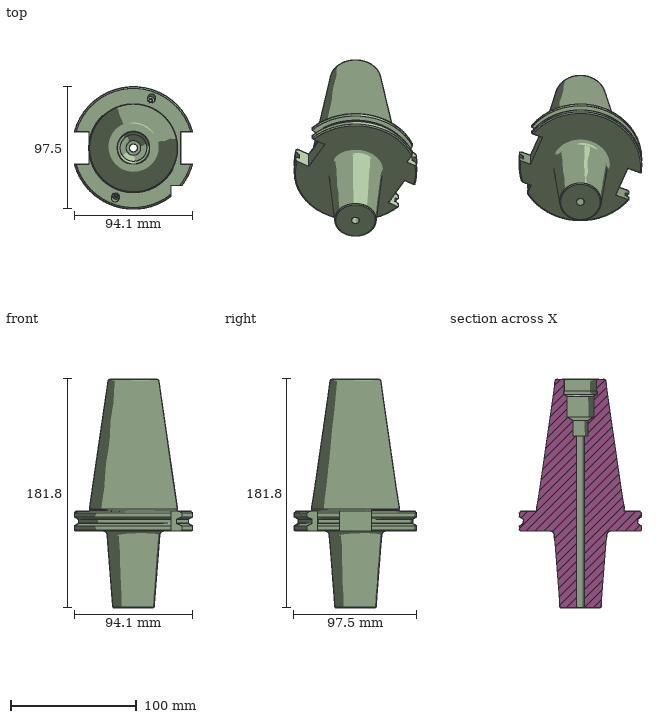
import cadquery as cq
import math


GAUGE_RADIUS = 69.85 / 2
TAPER_LENGTH = 101.75
TAPER_SLOPE = 7 / 24 / 2
TAPER_BASE_Z = -1.5
TOP_ROUND = 2.0
RELIEF_RADIUS = 34.8
RELIEF_ROUND = 0.8

FLANGE_RADIUS = 97.5 / 2
FLANGE_TOP_Z = -3.2
FLANGE_BOTTOM_Z = -19.1
FLANGE_TOP_CHAMFER = 1.4
FLANGE_BOTTOM_CHAMFER = 1.0
GROOVE_Z = -11.3
GROOVE_FLOOR_RADIUS = 91.25 / 2
GROOVE_FLOOR_WIDTH = 3.4
GROOVE_FLANK_ANGLE = 30
GROOVE_ROOT_ROUND = 0.6

NOSE_END_Z = -80.0
NOSE_END_RADIUS = 33 / 2
NOSE_TOP_Z = -22.9
NOSE_ROUND = 3.2
NOSE_ANGLE = 4.5
NOSE_CHAMFER = 0.8

SLOT_WIDTH = 25.7
SLOT_FLOOR_LEFT = 35.5
SLOT_FLOOR_RIGHT = 37.7
NOTCH_X = 30.0
NOTCH_Y = 30.0

MOUTH_ROUND = 1.5
COUNTERBORE_RADIUS = 12.75
COUNTERBORE_DEPTH = 12.2
UNDERCUT_DEPTH = 9.3
UNDERCUT_ROUND = 0.5
THREAD_BORE_RADIUS = 10.6
THREAD_CHAMFER_DEPTH = 1.5
THREAD_BORE_DEPTH = 30.0
POCKET_RADIUS = 5.8
POINT_ANGLE = 118
POCKET_DEPTH = 45.0
THROUGH_RADIUS = 3.1

COOLANT_RADIUS = 6.2 / 2
COOLANT_PITCH_RADIUS = 42.0
COOLANT_ANGLES = (70, 250)
COOLANT_TILT = 30
COOLANT_DEPTH = 3.0
SOCKET_WIDTH = 3.0
SOCKET_DEPTH = 2.0


def round_circle(solid, circle_radius, z, round_radius):
    """Fillet the circular edge of the given radius that lies at height z."""
    margin = 0.05
    reach = circle_radius + margin
    edge_box = cq.selectors.BoxSelector(
        (-reach, -reach, z - margin),
        (reach, reach, z + margin),
        boundingbox=True,
    )
    radius_filter = cq.selectors.RadiusNthSelector(-1)
    return solid.edges(edge_box).edges(radius_filter).fillet(round_radius)


def make_body():
    """Revolve the outer profile: nose, flange, neck and taper."""
    nose_slope = math.tan(math.radians(NOSE_ANGLE))
    nose_chamfer_z = NOSE_END_Z + NOSE_CHAMFER
    nose_top_radius = NOSE_END_RADIUS + nose_slope * (NOSE_TOP_Z - NOSE_END_Z)

    groove_depth = FLANGE_RADIUS - GROOVE_FLOOR_RADIUS
    groove_half_floor = GROOVE_FLOOR_WIDTH / 2
    groove_half_mouth = groove_half_floor + groove_depth * math.tan(math.radians(GROOVE_FLANK_ANGLE))

    taper_base_radius = GAUGE_RADIUS - TAPER_SLOPE * TAPER_BASE_Z
    taper_top_radius = GAUGE_RADIUS - TAPER_SLOPE * TAPER_LENGTH

    profile = (
        cq.Workplane("XZ")
        .moveTo(0, NOSE_END_Z)
        .lineTo(NOSE_END_RADIUS - NOSE_CHAMFER, NOSE_END_Z)
        .lineTo(NOSE_END_RADIUS + nose_slope * NOSE_CHAMFER, nose_chamfer_z)
        .lineTo(nose_top_radius, NOSE_TOP_Z)
        .lineTo(nose_top_radius, FLANGE_BOTTOM_Z)
        .lineTo(FLANGE_RADIUS - FLANGE_BOTTOM_CHAMFER, FLANGE_BOTTOM_Z)
        .lineTo(FLANGE_RADIUS, FLANGE_BOTTOM_Z + FLANGE_BOTTOM_CHAMFER)
        .lineTo(FLANGE_RADIUS, GROOVE_Z - groove_half_mouth)
        .lineTo(GROOVE_FLOOR_RADIUS, GROOVE_Z - groove_half_floor)
        .lineTo(GROOVE_FLOOR_RADIUS, GROOVE_Z + groove_half_floor)
        .lineTo(FLANGE_RADIUS, GROOVE_Z + groove_half_mouth)
        .lineTo(FLANGE_RADIUS, FLANGE_TOP_Z - FLANGE_TOP_CHAMFER)
        .lineTo(FLANGE_RADIUS - FLANGE_TOP_CHAMFER, FLANGE_TOP_Z)
        .lineTo(RELIEF_RADIUS, FLANGE_TOP_Z)
        .lineTo(RELIEF_RADIUS, TAPER_BASE_Z)
        .lineTo(taper_base_radius, TAPER_BASE_Z)
        .lineTo(taper_top_radius, TAPER_LENGTH)
        .lineTo(0, TAPER_LENGTH)
        .close()
    )
    body = profile.revolve(360, (0, 0, 0), (0, 1, 0))
    body = round_circle(body, taper_top_radius, TAPER_LENGTH, TOP_ROUND)
    body = round_circle(body, RELIEF_RADIUS, FLANGE_TOP_Z, RELIEF_ROUND)
    body = round_circle(body, nose_top_radius, FLANGE_BOTTOM_Z, NOSE_ROUND)
    for side in (-1, 1):
        floor_edge_z = GROOVE_Z + side * groove_half_floor
        body = round_circle(body, GROOVE_FLOOR_RADIUS, floor_edge_z, GROOVE_ROOT_ROUND)
    return body


def make_bore():
    """Revolve the stepped bore that runs from the taper end through the nose."""
    mouth_inset = MOUTH_ROUND * (1 - math.sqrt(0.5))
    undercut_z = TAPER_LENGTH - UNDERCUT_DEPTH
    undercut_radius = COUNTERBORE_RADIUS + UNDERCUT_ROUND
    undercut_bulge = UNDERCUT_ROUND * math.sqrt(0.5)
    undercut_inset = UNDERCUT_ROUND - undercut_bulge
    counterbore_z = TAPER_LENGTH - COUNTERBORE_DEPTH
    thread_floor_z = TAPER_LENGTH - THREAD_BORE_DEPTH
    point_depth = (THREAD_BORE_RADIUS - POCKET_RADIUS) / math.tan(math.radians(POINT_ANGLE / 2))
    pocket_floor_z = TAPER_LENGTH - POCKET_DEPTH
    return (
        cq.Workplane("XZ")
        .moveTo(0, TAPER_LENGTH)
        .lineTo(COUNTERBORE_RADIUS + MOUTH_ROUND, TAPER_LENGTH)
        .threePointArc(
            (COUNTERBORE_RADIUS + mouth_inset, TAPER_LENGTH - mouth_inset),
            (COUNTERBORE_RADIUS, TAPER_LENGTH - MOUTH_ROUND),
        )
        .lineTo(COUNTERBORE_RADIUS, undercut_z)
        .threePointArc(
            (COUNTERBORE_RADIUS + undercut_bulge, undercut_z - undercut_inset),
            (undercut_radius, undercut_z - UNDERCUT_ROUND),
        )
        .lineTo(undercut_radius, counterbore_z + UNDERCUT_ROUND)
        .threePointArc(
            (COUNTERBORE_RADIUS + undercut_bulge, counterbore_z + undercut_inset),
            (COUNTERBORE_RADIUS, counterbore_z),
        )
        .lineTo(THREAD_BORE_RADIUS, counterbore_z - THREAD_CHAMFER_DEPTH)
        .lineTo(THREAD_BORE_RADIUS, thread_floor_z)
        .lineTo(POCKET_RADIUS, thread_floor_z - point_depth)
        .lineTo(POCKET_RADIUS, pocket_floor_z)
        .lineTo(THROUGH_RADIUS, pocket_floor_z)
        .lineTo(THROUGH_RADIUS, NOSE_END_Z)
        .lineTo(0, NOSE_END_Z)
        .close()
        .revolve(360, (0, 0, 0), (0, 1, 0))
    )


def make_flange_block(x_min, x_max, y_min, y_max):
    """Box over the full flange height, used to cut the slots and the notch."""
    height = FLANGE_TOP_Z - FLANGE_BOTTOM_Z
    return (
        cq.Workplane("XY", origin=(x_min, y_min, FLANGE_BOTTOM_Z))
        .box(x_max - x_min, y_max - y_min, height, centered=False)
    )


def make_coolant_hole(angle):
    """Blind hole with a hexagon socket in its floor, leaning toward the axis."""
    overshoot = 2 * COOLANT_RADIUS
    socket_corner_diameter = SOCKET_WIDTH / math.cos(math.pi / 6)
    hole = (
        cq.Workplane("XY", origin=(0, 0, -COOLANT_DEPTH))
        .circle(COOLANT_RADIUS)
        .extrude(COOLANT_DEPTH + overshoot)
        .faces("<Z")
        .workplane()
        .polygon(6, socket_corner_diameter)
        .extrude(SOCKET_DEPTH)
    )
    return (
        hole.rotate((0, 0, 0), (0, 1, 0), COOLANT_TILT)
        .translate((COOLANT_PITCH_RADIUS, 0, FLANGE_TOP_Z))
        .rotate((0, 0, 0), (0, 0, 1), angle)
    )


half_slot = SLOT_WIDTH / 2
result = make_body()
result = result.cut(make_bore())
result = result.cut(make_flange_block(-FLANGE_RADIUS, -SLOT_FLOOR_LEFT, -half_slot, half_slot))
result = result.cut(make_flange_block(SLOT_FLOOR_RIGHT, FLANGE_RADIUS, -half_slot, half_slot))
result = result.cut(make_flange_block(NOTCH_X, FLANGE_RADIUS, -FLANGE_RADIUS, -NOTCH_Y))
for coolant_angle in COOLANT_ANGLES:
    result = result.cut(make_coolant_hole(coolant_angle))